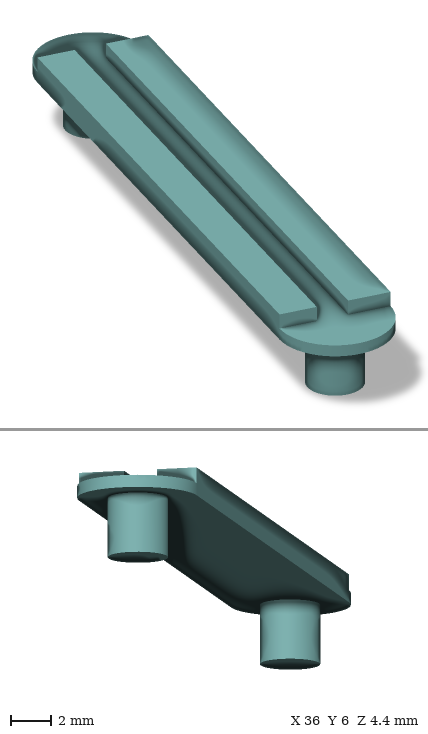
import cadquery as cq

length = 36
width = 6.0
plate_thickness = 0.6
end_spacing = length - width

peg_diameter = 3.0
peg_length = 3.0

rail_height = 0.8
back_rail_width = 2.3
front_rail_width = 2.0


def make_rail(rail_width, side):
    """Rail flush with one long edge; side is +1 for +Y and -1 for -Y."""
    center_y = side * (width - rail_width) / 2
    return (
        cq.Workplane("XY", origin=(0, center_y, plate_thickness))
        .rect(end_spacing, rail_width)
        .extrude(rail_height)
    )


plate = cq.Workplane("XY").slot2D(length, width).extrude(plate_thickness)

pegs = (
    cq.Workplane("XY")
    .pushPoints([(-end_spacing / 2, 0), (end_spacing / 2, 0)])
    .circle(peg_diameter / 2)
    .extrude(-peg_length)
)

back_rail = make_rail(back_rail_width, 1)
front_rail = make_rail(front_rail_width, -1)

result = plate.union(pegs).union(back_rail).union(front_rail)